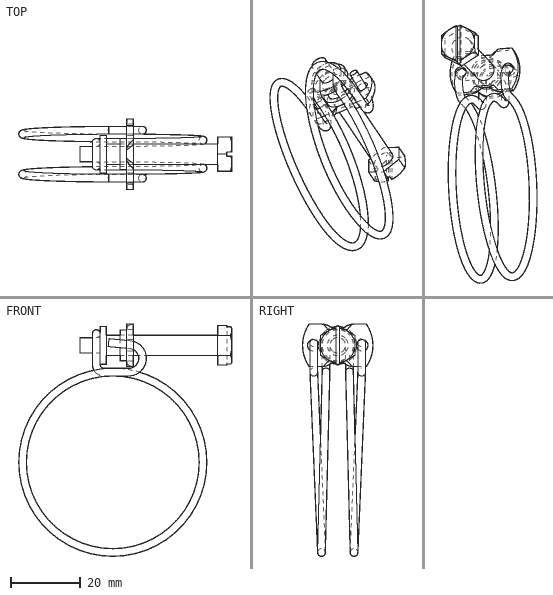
import cadquery as cq
import math


WIRE_DIA = 2.3
RING_R = 26.1
STRAIGHT_END = 4.65
STRAND_BOTTOM_Y = 4.7
STRAND_END_Y = 6.95
HOOK_R = 4.0
TAIL_SLOPE = 5.5
TAIL_TIP_X = -1.2
ARCH_X = -4.8
LEG_BEND_R = 2.15

BOLT_Z = 33.9
TIP_DIA = 4.5
TIP_START = -9.55
FLANGE_DIA = 11.0
FLANGE_START = ARCH_X + WIRE_DIA / 2
FLANGE_END = -1.9
SHANK_DIA = 6.0
HEAD_START = 30.4
HEAD_END = 34.5
HEAD_ACROSS_FLATS = 9.95
HEAD_CHAMFER_ANGLE = 30
SLOT_WIDTH = 1.15
SLOT_DEPTH = 1.4

PLATE_START = 4.0
PLATE_THICK = 2.0
PLATE_HALF_WIDTH = 10.25
PLATE_HALF_HEIGHT = 6.2
PLATE_CORNER_Y = 8.3
COLLAR_DIA = 9.0
COLLAR_START = 2.15
HOOK_HOLE_DIA = 3.3
HOOK_HOLE_Y = 7.1
SHOULDER_Y = 4.8
SHOULDER_R = 4.7
NOTCH_HALF_WIDTH = 1.2
NOTCH_FLARE = 1.55
NOTCH_SIDE_LEAN = 1.5


def cylinder_x(dia, start, end, y=0):
    """Solid cylinder along X at bolt height."""
    return cq.Workplane("YZ", origin=(start, y, BOLT_Z)).circle(dia / 2).extrude(end - start)


def bolt_head():
    corner_dia = HEAD_ACROSS_FLATS / math.cos(math.radians(30))
    hexagon = (
        cq.Workplane("YZ", origin=(HEAD_START, 0, BOLT_Z))
        .transformed(rotate=(0, 0, 90))
        .polygon(6, corner_dia)
        .extrude(HEAD_END - HEAD_START)
    )

    corner_r = corner_dia / 2
    end_r = HEAD_ACROSS_FLATS / 2
    drop = (corner_r - end_r) * math.tan(math.radians(HEAD_CHAMFER_ANGLE))
    envelope = (
        cq.Workplane("XY", origin=(0, 0, BOLT_Z))
        .moveTo(HEAD_START, 0)
        .lineTo(HEAD_END, 0)
        .lineTo(HEAD_END, end_r)
        .lineTo(HEAD_END - drop, corner_r)
        .lineTo(HEAD_START, corner_r)
        .close()
        .revolve(360, (0, 0, 0), (1, 0, 0))
    )
    slot = cq.Workplane("XY", origin=(HEAD_END, 0, BOLT_Z)).box(2 * SLOT_DEPTH, SLOT_WIDTH, 2 * corner_dia)
    return hexagon.intersect(envelope).cut(slot)


def make_bolt():
    tip = cylinder_x(TIP_DIA, TIP_START, FLANGE_START)
    flange = cylinder_x(FLANGE_DIA, FLANGE_START, FLANGE_END)
    shank = cylinder_x(SHANK_DIA, FLANGE_END, HEAD_START)
    return tip.union(flange).union(shank).union(bolt_head()).solids()


def plate_notch():
    """Upper notch: rounded shoulders, a flat floor, and sides that flare toward the bolt head."""
    shoulder_center_z = PLATE_HALF_HEIGHT - SHOULDER_R
    floor_z = shoulder_center_z + math.sqrt(SHOULDER_R**2 - (SHOULDER_Y - NOTCH_HALF_WIDTH) ** 2)
    mid_angle = math.radians(120)
    mid_y = SHOULDER_Y + SHOULDER_R * math.cos(mid_angle)
    mid_z = shoulder_center_z + SHOULDER_R * math.sin(mid_angle)

    face = cq.Workplane("YZ", origin=(PLATE_START, 0, BOLT_Z))
    rounded = (
        face.moveTo(SHOULDER_Y, PLATE_HALF_HEIGHT)
        .threePointArc((mid_y, mid_z), (NOTCH_HALF_WIDTH, floor_z))
        .lineTo(-NOTCH_HALF_WIDTH, floor_z)
        .threePointArc((-mid_y, mid_z), (-SHOULDER_Y, PLATE_HALF_HEIGHT))
        .close()
        .extrude(PLATE_THICK)
    )

    def trapezoid(half_floor):
        half_top = half_floor + NOTCH_SIDE_LEAN
        return [
            (-half_floor, floor_z),
            (half_floor, floor_z),
            (half_top, PLATE_HALF_HEIGHT),
            (-half_top, PLATE_HALF_HEIGHT),
        ]

    flare = (
        face.polyline(trapezoid(NOTCH_HALF_WIDTH))
        .close()
        .workplane(offset=PLATE_THICK)
        .polyline(trapezoid(NOTCH_HALF_WIDTH + NOTCH_FLARE))
        .close()
        .loft(ruled=True)
    )
    return rounded.union(flare)


def make_plate():
    plate = (
        cq.Workplane("YZ", origin=(PLATE_START, 0, BOLT_Z))
        .moveTo(-PLATE_CORNER_Y, PLATE_HALF_HEIGHT)
        .lineTo(PLATE_CORNER_Y, PLATE_HALF_HEIGHT)
        .threePointArc((PLATE_HALF_WIDTH, 0), (PLATE_CORNER_Y, -PLATE_HALF_HEIGHT))
        .lineTo(-PLATE_CORNER_Y, -PLATE_HALF_HEIGHT)
        .threePointArc((-PLATE_HALF_WIDTH, 0), (-PLATE_CORNER_Y, PLATE_HALF_HEIGHT))
        .close()
        .extrude(PLATE_THICK)
    )
    notch = plate_notch()
    plate = plate.cut(notch).cut(notch.mirror("XY", (0, 0, BOLT_Z)))

    plate_end = PLATE_START + PLATE_THICK
    plate = plate.union(cylinder_x(COLLAR_DIA, COLLAR_START, PLATE_START))
    plate = plate.cut(cylinder_x(SHANK_DIA, COLLAR_START, plate_end))
    for side in (-1, 1):
        plate = plate.cut(cylinder_x(HOOK_HOLE_DIA, PLATE_START, plate_end, side * HOOK_HOLE_Y))
    return plate.solids()


def line(start, end):
    return cq.Edge.makeLine(cq.Vector(start), cq.Vector(end))


def arc(start, middle, end):
    return cq.Edge.makeThreePointArc(cq.Vector(start), cq.Vector(middle), cq.Vector(end))


def make_wire():
    """One bent wire: an arch over the bolt tip, two full turns and two hooked tails."""
    arch_r = (TIP_DIA + WIRE_DIA) / 2
    diagonal = math.sqrt(0.5)

    arch_top = (ARCH_X, 0, BOLT_Z + arch_r)
    arch_mid = (ARCH_X, arch_r * diagonal, BOLT_Z + arch_r * diagonal)
    leg_top = (ARCH_X, arch_r, BOLT_Z)
    leg_bottom = (ARCH_X, arch_r, RING_R + LEG_BEND_R)
    bend_inset = LEG_BEND_R * (1 - diagonal)
    bend_mid = (ARCH_X + bend_inset, arch_r, RING_R + bend_inset)
    bend_end = (ARCH_X + LEG_BEND_R, arch_r, RING_R)

    ring_start = (0, arch_r, RING_R)
    ring_right = (RING_R, (arch_r + STRAND_BOTTOM_Y) / 2, 0)
    ring_bottom = (0, STRAND_BOTTOM_Y, -RING_R)
    ring_left = (-RING_R, (STRAND_BOTTOM_Y + STRAND_END_Y) / 2, 0)
    ring_end = (0, STRAND_END_Y, RING_R)

    hook_start = (STRAIGHT_END, STRAND_END_Y, RING_R)
    hook_mid = (STRAIGHT_END + HOOK_R, STRAND_END_Y, RING_R + HOOK_R)
    slope = math.radians(TAIL_SLOPE)
    hook_end_x = STRAIGHT_END + HOOK_R * math.sin(slope)
    hook_end_z = RING_R + HOOK_R * (1 + math.cos(slope))
    hook_end = (hook_end_x, STRAND_END_Y, hook_end_z)
    tail_tip_z = hook_end_z + (hook_end_x - TAIL_TIP_X) * math.tan(slope)
    tail_tip = (TAIL_TIP_X, STRAND_END_Y, tail_tip_z)

    edges = [
        arc(arch_top, arch_mid, leg_top),
        line(leg_top, leg_bottom),
        arc(leg_bottom, bend_mid, bend_end),
        line(bend_end, ring_start),
        arc(ring_start, ring_right, ring_bottom),
        arc(ring_bottom, ring_left, ring_end),
        line(ring_end, hook_start),
        arc(hook_start, hook_mid, hook_end),
        line(hook_end, tail_tip),
    ]
    path = cq.Wire.assembleEdges(edges)
    half = cq.Workplane("XZ", origin=arch_top).circle(WIRE_DIA / 2).sweep(path)
    return half.union(half.mirror("XZ")).solids()


bolt = make_bolt()
plate = make_plate()
wire = make_wire()

result = cq.Compound.makeCompound([bolt.val(), plate.val(), wire.val()])